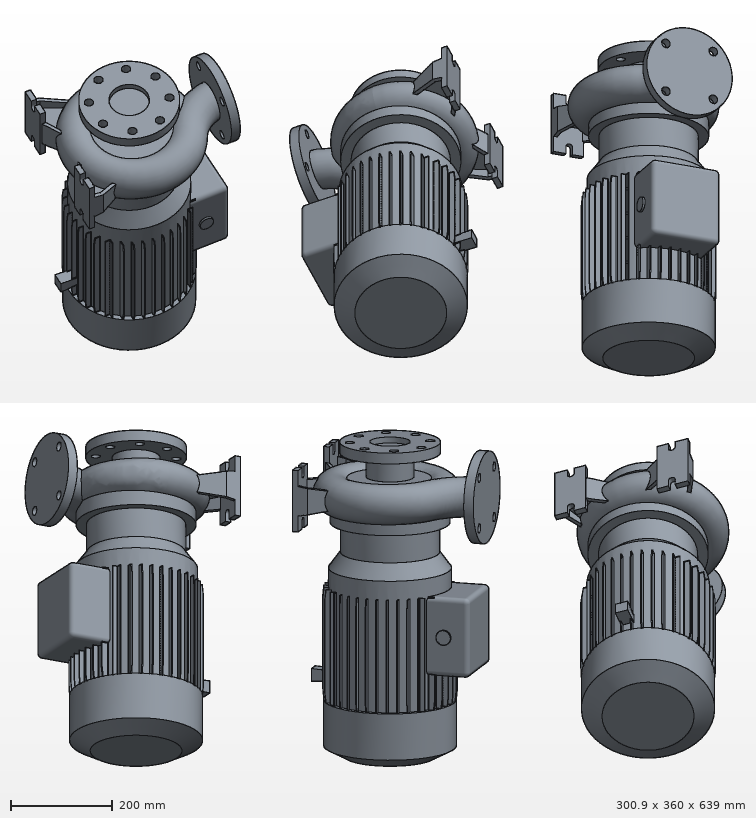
import math

import cadquery as cq


suction_face_z = 100
suction_flange_dia = 200
suction_flange_thickness = 22
suction_bolt_circle = 160
suction_bolt_count = 8
suction_bore_dia = 80
suction_bore_depth = 12
suction_neck_dia = 95
bolt_hole_dia = 18

discharge_face_y = 200
discharge_flange_dia = 185
discharge_flange_thickness = 20
discharge_bolt_circle = 145
discharge_bolt_count = 4

tube_radius = 40
tube_right_x = 120.87
tube_left_x = -100
volute_centre_x = (tube_right_x + tube_left_x) / 2
volute_radius = (tube_right_x - tube_left_x) / 2
tongue_tube_radius = 34
tongue_path_radius = 104.5
tongue_angle = 70
casing_top_z = 29
collar_radius = 119
collar_bottom_z = -63.5

motor_bottom_z = -539
lantern_radius = 98.5
lantern_bottom_z = -123.5
barrel_radius = 122
barrel_shoulder_z = -155.5
fin_top_z = -193
fin_bottom_z = -423
fin_count = 40
fin_thickness = 2
fin_radius = 133.5
corner_fin_reach = 97.5
fin_end_drop = 2
fin_end_taper = 20
cowl_radius = 132
cowl_bottom_radius = 91
cowl_bevel_height = 22

box_width = 147
box_height = 160
box_outer_y = 185
box_rounding = 10
gland_dia = 30
gland_projection = 4.5
gland_y = 133

tab_width = 26
tab_outer_y = -158.5
tab_mid_z = -382
tab_outer_height = 26
tab_root_height = 22

foot_base_y = -160
foot_thickness = 12
foot_height = 125
foot_width = 65
feet_span = 280
foot_slot_width = 14
foot_slot_spacing_x = 212
foot_slot_spacing_z = 95
bracket_wall = 8
bracket_outer_bend_y = -129
bracket_outer_end = (-105, -54)
bracket_inner_end = (-20, -121)
bracket_root_half_height = 30
bracket_axis_half_height = 5
bracket_web_thickness = 8


def vertical_cylinder(radius, bottom, top, centre_x=0):
    return cq.Workplane("XY", origin=(centre_x, 0, bottom)).circle(radius).extrude(top - bottom)


def arc_point(centre_x, radius, angle):
    """Point on a circle centred on the X axis, at an angle in degrees from +X."""
    a = math.radians(angle)
    return (centre_x + radius * math.cos(a), radius * math.sin(a))


def volute_point(angle):
    return arc_point(volute_centre_x, volute_radius, angle)


def tongue_point(angle):
    return arc_point(tube_left_x + tongue_path_radius, tongue_path_radius, angle)


def make_scroll():
    """Constant-bore tube: S-bend from the discharge face, then round to the -X side."""
    bend_radius = (discharge_face_y**2 + volute_centre_x**2 - volute_radius**2) / (
        2 * (volute_radius + volute_centre_x)
    )
    join_angle = math.degrees(math.atan2(discharge_face_y, bend_radius - volute_centre_x))
    bend_mid = math.radians(180 + join_angle / 2)
    bend_mid_point = (
        bend_radius + bend_radius * math.cos(bend_mid),
        discharge_face_y + bend_radius * math.sin(bend_mid),
    )
    path = (
        cq.Workplane("XY")
        .moveTo(0, discharge_face_y)
        .threePointArc(bend_mid_point, volute_point(join_angle))
        .threePointArc(volute_point((join_angle - 180) / 2), volute_point(-180))
    )
    section = cq.Workplane("XZ", origin=(0, discharge_face_y, 0)).circle(tube_radius)
    return section.sweep(path)


def make_tongue():
    """Tapering start of the volute, from the -X side round to beneath the S-bend."""
    start = tongue_point(180)
    end = tongue_point(tongue_angle)
    end_rad = math.radians(tongue_angle)
    middle = tongue_point((180 + tongue_angle) / 2)
    path = cq.Workplane("XY").moveTo(*start).threePointArc(middle, end)
    start_plane = cq.Plane(origin=(*start, 0), xDir=(0, 0, 1), normal=(0, 1, 0))
    end_plane = cq.Plane(
        origin=(*end, 0), xDir=(0, 0, 1), normal=(math.sin(end_rad), -math.cos(end_rad), 0)
    )
    start_wire = cq.Workplane(start_plane).circle(tube_radius).wires().val()
    end_wire = cq.Workplane(end_plane).circle(tongue_tube_radius).wires().val()
    sections = cq.Workplane("XY").newObject([start_wire, end_wire]).toPending()
    return sections.sweep(path, multisection=True)


def make_suction():
    flange_back_z = suction_face_z - suction_flange_thickness
    flange = vertical_cylinder(suction_flange_dia / 2, flange_back_z, suction_face_z)
    neck = vertical_cylinder(suction_neck_dia / 2, 0, flange_back_z)
    holes = (
        cq.Workplane("XY", origin=(0, 0, flange_back_z))
        .polarArray(suction_bolt_circle / 2, 180 / suction_bolt_count, 360, suction_bolt_count)
        .circle(bolt_hole_dia / 2)
        .extrude(suction_flange_thickness)
    )
    bore = vertical_cylinder(suction_bore_dia / 2, suction_face_z - suction_bore_depth, suction_face_z)
    return flange.cut(holes).union(neck).cut(bore)


def make_discharge_flange():
    return (
        cq.Workplane("XZ", origin=(0, discharge_face_y, 0))
        .circle(discharge_flange_dia / 2)
        .polarArray(discharge_bolt_circle / 2, 180 / discharge_bolt_count, 360, discharge_bolt_count)
        .circle(bolt_hole_dia / 2)
        .extrude(discharge_flange_thickness)
    )


def make_casing():
    core = vertical_cylinder(volute_radius, 0, casing_top_z, volute_centre_x)
    collar = vertical_cylinder(collar_radius, collar_bottom_z, 0)
    return core.union(collar).union(make_scroll()).union(make_tongue())


def make_motor_body():
    """Lantern, conical shoulder, barrel and fan cowl as one turned profile."""
    profile = [
        (0, 0),
        (lantern_radius, 0),
        (lantern_radius, lantern_bottom_z),
        (barrel_radius, barrel_shoulder_z),
        (barrel_radius, fin_bottom_z),
        (cowl_radius, fin_bottom_z),
        (cowl_radius, motor_bottom_z + cowl_bevel_height),
        (cowl_bottom_radius, motor_bottom_z),
        (0, motor_bottom_z),
    ]
    return cq.Workplane("XZ").polyline(profile).close().revolve(360, (0, 0, 0), (0, 1, 0))


def make_fins():
    """Cooling fins parallel to X or Y by quadrant, trimmed to a barrel with tapered ends."""
    end_radius = fin_radius - fin_end_drop
    envelope = (
        cq.Workplane("XZ")
        .polyline(
            [
                (0, fin_top_z),
                (end_radius, fin_top_z),
                (fin_radius, fin_top_z - fin_end_taper),
                (fin_radius, fin_bottom_z + fin_end_taper),
                (end_radius, fin_bottom_z),
                (0, fin_bottom_z),
            ]
        )
        .close()
        .revolve(360, (0, 0, 0), (0, 1, 0))
    )
    fin_length = fin_top_z - fin_bottom_z
    pitch = 360 / fin_count
    bars = cq.Workplane("XY")
    last_index = fin_count // 4 - 1
    for index in range(last_index + 1):
        angle = -45 + pitch * (index + 0.5)
        offset = fin_radius * math.sin(math.radians(angle))
        reach = corner_fin_reach if index in (0, last_index) else fin_radius
        base = cq.Workplane("XY", origin=(0, 0, fin_bottom_z))
        along_x = base.center(0, offset).rect(2 * reach, fin_thickness).extrude(fin_length)
        along_y = base.center(offset, 0).rect(fin_thickness, 2 * reach).extrude(fin_length)
        bars = bars.union(along_x).union(along_y)
    return bars.intersect(envelope)


def make_terminal_box():
    box_mid_z = fin_top_z - box_height / 2
    box = (
        cq.Workplane("XY")
        .box(box_width, box_outer_y, box_height)
        .translate((0, box_outer_y / 2, box_mid_z))
        .edges("|Y or >Y")
        .fillet(box_rounding)
    )
    gland = (
        cq.Workplane("YZ", origin=(0, gland_y, box_mid_z))
        .circle(gland_dia / 2)
        .extrude(box_width / 2 + gland_projection)
    )
    return box.union(gland)


def make_tab():
    """Small tab on the -Y side of the motor, flaring slightly towards its outer face."""
    outer = tab_outer_height / 2
    root = tab_root_height / 2
    profile = [
        (0, tab_mid_z - root),
        (-barrel_radius, tab_mid_z - root),
        (tab_outer_y, tab_mid_z - outer),
        (tab_outer_y, tab_mid_z + outer),
        (-barrel_radius, tab_mid_z + root),
        (0, tab_mid_z + root),
    ]
    return cq.Workplane("YZ").polyline(profile).close().extrude(tab_width / 2, both=True)


def make_foot_plate():
    """Upright plate on the -X side with an open bolt slot at each end."""
    outer_x = -feet_span / 2
    plate_top_y = foot_base_y + foot_thickness
    plate = cq.Workplane("XY").box(foot_width, foot_thickness, foot_height).translate(
        (outer_x + foot_width / 2, foot_base_y + foot_thickness / 2, 0)
    )
    for side in (-1, 1):
        slot_z = side * foot_slot_spacing_z / 2
        slot = (
            cq.Workplane("XZ", origin=(-foot_slot_spacing_x / 2, plate_top_y, slot_z))
            .slot2D(foot_height, foot_slot_width, 90)
            .extrude(foot_thickness)
            .translate((0, 0, side * (foot_height - foot_slot_width) / 2))
        )
        plate = plate.cut(slot)
    return plate


def make_foot_bracket():
    """Two tapering walls and a thin web joining the -X foot plate to the volute."""
    outer_x = -feet_span / 2
    inner_x = outer_x + foot_width
    plate_top_y = foot_base_y + foot_thickness
    wall_base_y = plate_top_y - bracket_wall
    outline = [
        (outer_x, wall_base_y),
        (outer_x, bracket_outer_bend_y),
        bracket_outer_end,
        bracket_inner_end,
        (inner_x, wall_base_y),
    ]
    depth = bracket_root_half_height
    bracket = cq.Workplane("XY").polyline(outline).close().extrude(depth, both=True)
    inner_outline = cq.Workplane("XY").polyline(outline).close().offset2D(-bracket_wall)
    pocket = inner_outline.extrude(depth, both=True)
    web_slab = cq.Workplane("XY").box(2 * feet_span, 2 * feet_span, bracket_web_thickness)
    web = pocket.intersect(web_slab)
    taper = (
        cq.Workplane("YZ")
        .polyline(
            [
                (foot_base_y, depth),
                (plate_top_y, depth),
                (0, bracket_axis_half_height),
                (0, -bracket_axis_half_height),
                (plate_top_y, -depth),
                (foot_base_y, -depth),
            ]
        )
        .close()
        .extrude(outer_x)
    )
    return bracket.cut(pocket).union(web).intersect(taper)


foot = make_foot_plate().union(make_foot_bracket())
result = (
    make_motor_body()
    .union(make_fins())
    .union(make_terminal_box())
    .union(make_tab())
    .union(make_casing())
    .union(make_suction())
    .union(make_discharge_flange())
    .union(foot)
    .union(foot.mirror("YZ"))
)